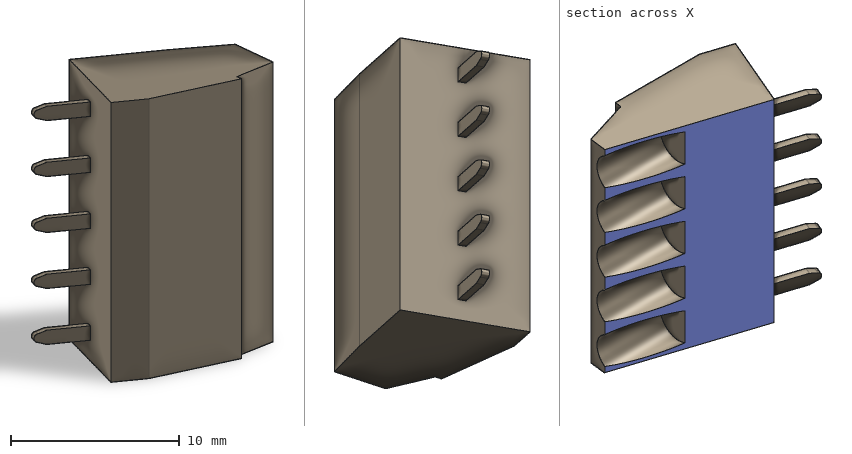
import cadquery as cq
import math


POLE_COUNT = 5
PITCH = 3.5
ROW_LENGTH = POLE_COUNT * PITCH

DEPTH = 8.4
HEIGHT = 11.4
PIN_TO_ENTRY_SIDE = 4.0
ENTRY_SIDE_X = -PIN_TO_ENTRY_SIDE
FAR_SIDE_X = ENTRY_SIDE_X + DEPTH
SLOPE_ANGLE = math.radians(17)
DRAFT_START_Y = 6.07
DRAFT_INSET = 0.2
ENTRY_FACE_RUN = 3.83
LEDGE_RUN = 0.46
FAR_SIDE_STRAIGHT_HEIGHT = 2.35
LEDGE_CORNER_Y = 8.7

ENTRY_DIAMETER = 2.9
ENTRY_DEPTH = 5.0

PIN_LENGTH = 3.5
PIN_THICKNESS = 0.5
PIN_WIDTH = 0.9
TIP_TAPER_START = 2.7
TIP_SHOULDER = 3.27
TIP_SHOULDER_WIDTH = 0.54

ENTRY_LOW = (ENTRY_SIDE_X + DRAFT_INSET, HEIGHT - ENTRY_FACE_RUN * math.tan(SLOPE_ANGLE))
PEAK = (ENTRY_LOW[0] + ENTRY_FACE_RUN, HEIGHT)


def pole_positions():
    """Z positions of the poles, centred on the housing."""
    return [(i - (POLE_COUNT - 1) / 2) * PITCH for i in range(POLE_COUNT)]


def make_housing():
    """Constant profile extruded along the row."""
    slope = math.tan(SLOPE_ANGLE)
    ledge_x = FAR_SIDE_X - (LEDGE_CORNER_Y - FAR_SIDE_STRAIGHT_HEIGHT) * slope
    notch = (ledge_x - LEDGE_RUN, LEDGE_CORNER_Y - LEDGE_RUN * slope)
    outline = [
        (ENTRY_SIDE_X, 0),
        (ENTRY_SIDE_X, DRAFT_START_Y),
        ENTRY_LOW,
        PEAK,
        notch,
        (ledge_x, LEDGE_CORNER_Y),
        (FAR_SIDE_X, FAR_SIDE_STRAIGHT_HEIGHT),
        (FAR_SIDE_X, 0),
    ]
    return cq.Workplane("XY").polyline(outline).close().extrude(ROW_LENGTH / 2, both=True)


def make_entry_hole(z):
    """Blind round hole sunk from the middle of the entry face."""
    centre = cq.Vector((ENTRY_LOW[0] + PEAK[0]) / 2, (ENTRY_LOW[1] + PEAK[1]) / 2, z)
    inward = cq.Vector(math.sin(SLOPE_ANGLE), -math.cos(SLOPE_ANGLE), 0)
    return cq.Solid.makeCylinder(ENTRY_DIAMETER / 2, ENTRY_DEPTH, centre, inward)


def make_pin(z):
    """Flat pin with a tapered, rounded tip."""
    return (
        cq.Workplane("YZ", origin=(0, 0, z))
        .moveTo(0, -PIN_WIDTH / 2)
        .lineTo(-TIP_TAPER_START, -PIN_WIDTH / 2)
        .lineTo(-TIP_SHOULDER, -TIP_SHOULDER_WIDTH / 2)
        .threePointArc((-PIN_LENGTH, 0), (-TIP_SHOULDER, TIP_SHOULDER_WIDTH / 2))
        .lineTo(-TIP_TAPER_START, PIN_WIDTH / 2)
        .lineTo(0, PIN_WIDTH / 2)
        .close()
        .extrude(PIN_THICKNESS / 2, both=True)
    )


result = make_housing()
for pole_z in pole_positions():
    result = result.cut(make_entry_hole(pole_z)).union(make_pin(pole_z))